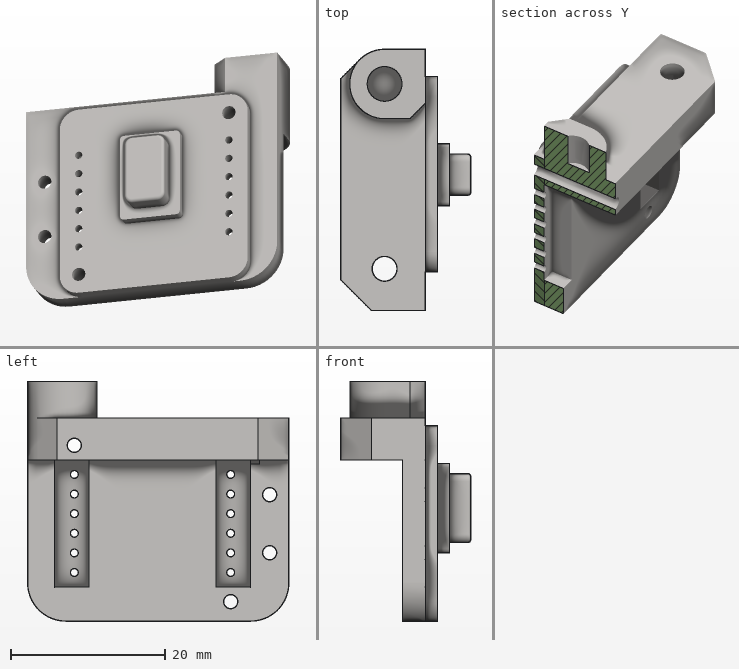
import cadquery as cq
import math


length = 33.95
total_height = 31.12
wall_thickness = 3.0
wall_corner_radius = 5.0
flange_depth = 11.0
flange_bottom = 20.9
flange_top = 26.4
flange_chamfer = 4.0
boss_radius = 4.5
boss_x = -5.3
boss_y = length - boss_radius
boss_chamfer = 2.0
boss_bore_diameter = 4.5

screw_hole_diameter = 3.2
screw_hole_y = 5.43
nut_corner_diameter = 6.45
nut_pocket_top = 24.4
nut_pocket_bottom = 20.43

board_size = 25.4
board_thickness = 1.6
board_corner_radius = 2.55
board_y = 17.7
board_z = board_size / 2
pin_pitch = 2.55
pins_per_row = 6
pin_hole_diameter = 1.0
mount_inset = 2.55
mount_hole_diameter = 1.8
mount_offset = board_size / 2 - mount_inset

window_bottom = 4.45
window_inner_offset = 8.2
window_outer_offset = board_size / 2

side_hole_y = 2.5
side_hole_z = (8.9, 16.43)

component_y = 17.65
component_z = 14.7
base_width = 8.08
base_height = 11.6
base_thickness = 1.55
base_corner_radius = 0.5
plug_width = 5.35
plug_height = 8.95
plug_length = 2.75
plug_corner_radius = 1.0
plug_end_fillet = 0.4


def block(x0, x1, y0, y1, z0, z1):
    """Box between two opposite corners."""
    return cq.Workplane("XY").box(x1 - x0, y1 - y0, z1 - z0, centered=False).translate((x0, y0, z0))


def centred_block(x0, thickness, width, height, y, z):
    """Box starting at x0 and centred on (y, z)."""
    return block(x0, x0 + thickness, y - width / 2, y + width / 2, z - height / 2, z + height / 2)


def rods_along_x(points, diameter):
    """Cutters for holes along X, through both the wall and the board, at (y, z) points."""
    span = flange_depth + board_thickness
    return cq.Workplane("YZ", origin=(-flange_depth, 0, 0)).pushPoints(points).circle(diameter / 2).extrude(span)


def mount_points():
    """Two opposite board corners where holes pass through board and bracket."""
    return [(board_y + side * mount_offset, board_z + side * mount_offset) for side in (-1, 1)]


def make_wall():
    wall = block(-wall_thickness, 0, 0, length, 0, flange_top)
    return wall.edges("|X and <Z").fillet(wall_corner_radius)


def make_flange():
    diagonal = boss_radius / math.sqrt(2)
    tangent_x = boss_x - diagonal
    tangent_y = boss_y + diagonal
    arc_middle = (
        boss_x - boss_radius * math.sin(math.pi / 8),
        boss_y + boss_radius * math.cos(math.pi / 8),
    )
    return (
        cq.Workplane("XY", origin=(0, 0, flange_bottom))
        .moveTo(0, 0)
        .lineTo(-flange_depth + flange_chamfer, 0)
        .lineTo(-flange_depth, flange_chamfer)
        .lineTo(-flange_depth, tangent_y - (tangent_x + flange_depth))
        .lineTo(tangent_x, tangent_y)
        .threePointArc(arc_middle, (boss_x, length))
        .lineTo(0, length)
        .close()
        .extrude(flange_top - flange_bottom)
    )


def make_boss():
    boss_start_y = length - 2 * boss_radius
    return (
        cq.Workplane("XY", origin=(0, 0, flange_top))
        .moveTo(boss_x, length)
        .threePointArc((boss_x - boss_radius, boss_y), (boss_x, boss_start_y))
        .lineTo(-boss_chamfer, boss_start_y)
        .lineTo(0, boss_start_y + boss_chamfer)
        .lineTo(0, length)
        .close()
        .extrude(total_height - flange_top)
    )


def boss_bore():
    bore = cq.Workplane("XY", origin=(boss_x, boss_y, flange_top))
    return bore.circle(boss_bore_diameter / 2).extrude(total_height - flange_top)


def screw_hole():
    hole = cq.Workplane("XY", origin=(boss_x, screw_hole_y, flange_bottom))
    return hole.circle(screw_hole_diameter / 2).extrude(flange_top - flange_bottom)


def nut_pocket():
    pocket = cq.Workplane("XY", origin=(boss_x, screw_hole_y, nut_pocket_bottom))
    return pocket.polygon(6, nut_corner_diameter).extrude(nut_pocket_top - nut_pocket_bottom)


def make_bracket():
    bracket = make_wall().union(make_flange()).union(make_boss())
    bracket = bracket.cut(boss_bore()).cut(screw_hole()).cut(nut_pocket())
    for side in (-1, 1):
        y_edges = sorted(board_y + side * offset for offset in (window_inner_offset, window_outer_offset))
        bracket = bracket.cut(block(-wall_thickness, 0, *y_edges, window_bottom, flange_bottom))
    through_points = mount_points() + [(side_hole_y, z) for z in side_hole_z]
    return bracket.cut(rods_along_x(through_points, mount_hole_diameter))


def make_board():
    board = centred_block(0, board_thickness, board_size, board_size, board_y, board_z)
    board = board.edges("|X").fillet(board_corner_radius)
    first_pin_z = board_z - pin_pitch * (pins_per_row - 1) / 2
    pin_points = [
        (board_y + side * mount_offset, first_pin_z + row * pin_pitch)
        for side in (-1, 1)
        for row in range(pins_per_row)
    ]
    board = board.cut(rods_along_x(pin_points, pin_hole_diameter))
    board = board.cut(rods_along_x(mount_points(), mount_hole_diameter))

    base = centred_block(board_thickness, base_thickness, base_width, base_height, component_y, component_z)
    base = base.edges("|X").fillet(base_corner_radius)
    plug_start = board_thickness + base_thickness
    plug = centred_block(plug_start, plug_length, plug_width, plug_height, component_y, component_z)
    plug = plug.edges("|X").fillet(plug_corner_radius).faces(">X").edges().fillet(plug_end_fillet)
    return board.union(base).union(plug)


bracket = make_bracket()
board = make_board()
result = cq.Compound.makeCompound([bracket.val(), board.val()])